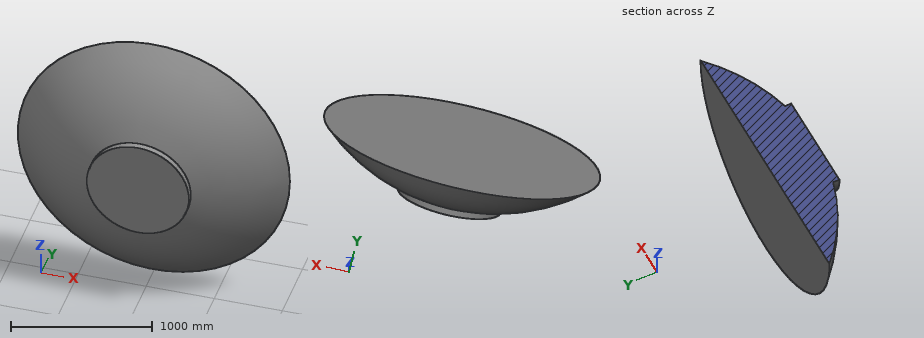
import cadquery as cq
import math

rim_radius = 1000.0
overall_depth = 400.0
plate_radius = 375.0
plate_thickness = 50.0

sphere_radius = (rim_radius**2 + overall_depth**2) / (2 * overall_depth)
sphere_center_y = sphere_radius - overall_depth


def sphere_y(radius):
    """Y of the dish surface at a given distance from the axis."""
    return sphere_center_y - math.sqrt(sphere_radius**2 - radius**2)


def dish_profile():
    """Half section of dish and plate, with the distance from the axis along X."""
    plate_face_y = -overall_depth
    plate_back_y = plate_face_y + plate_thickness
    middle_radius = (rim_radius + plate_radius) / 2
    return (
        cq.Workplane("XY")
        .moveTo(0, 0)
        .lineTo(rim_radius, 0)
        .threePointArc(
            (middle_radius, sphere_y(middle_radius)),
            (plate_radius, sphere_y(plate_radius)),
        )
        .lineTo(plate_radius, plate_face_y)
        .lineTo(0, plate_face_y)
        .close()
    )


result = dish_profile().revolve(360, (0, 0, 0), (0, 1, 0))